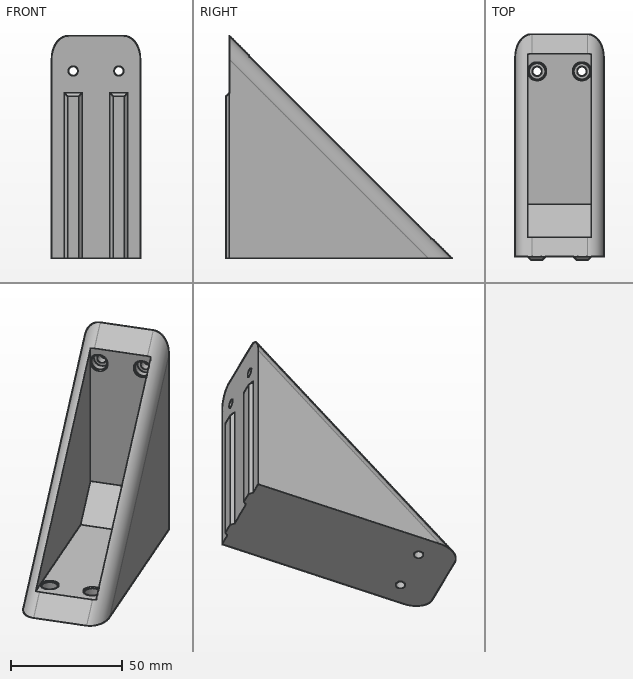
import cadquery as cq

width = 40.0
leg = 100.0
edge_radius = 7.5

wall = 8.8
pocket_width = 28.4
web_leg = 14.7

hole_diameter = 4.2
bore_diameter = 7.2
bore_rim_diameter = 8.3
bore_depth = 4.1
floor_hole_distance = 83.2
front_hole_height = 84.1
floor_hole_offset = 10.0
front_hole_offset = 10.3

rib_offset = 10.3
rib_width = 8.1
rib_height = 1.5
rib_length = 74.3


def make_body():
    """Right-angled wedge with rounded edges along both sides of the slope."""
    wedge = (
        cq.Workplane("YZ")
        .polyline([(0, 0), (leg, 0), (0, leg)])
        .close()
        .extrude(width / 2, both=True)
    )
    slope_center = (0, leg / 2, leg / 2)
    slope_sides = wedge.faces(cq.NearestToPointSelector(slope_center)).edges("not |X")
    return slope_sides.fillet(edge_radius)


def make_pocket():
    """Triangular cavity with its inner corner cut off parallel to the slope."""
    web_end = wall + web_leg
    return (
        cq.Workplane("YZ")
        .polyline([(web_end, wall), (leg, wall), (leg, leg), (wall, leg), (wall, web_end)])
        .close()
        .extrude(pocket_width / 2, both=True)
    )


def make_hole(center, direction):
    """Counterbored screw hole with a chamfered rim, starting at the inner wall face."""
    rim = (bore_rim_diameter - bore_diameter) / 2
    shaft = cq.Solid.makeCylinder(hole_diameter / 2, wall, center, direction)
    bore = cq.Solid.makeCylinder(bore_diameter / 2, bore_depth, center, direction)
    cone = cq.Solid.makeCone(bore_rim_diameter / 2, bore_diameter / 2, rim, center, direction)
    return cq.Workplane(shaft.fuse(bore, cone))


def make_rib(x):
    """Rib with 45-degree sides and top end, flush with the base at Z = 0."""
    side_profile = (
        cq.Workplane("YZ")
        .polyline([(0, 0), (-rib_height, 0), (-rib_height, rib_length - rib_height), (0, rib_length)])
        .close()
        .extrude(rib_width / 2, both=True)
    )
    crest = rib_width / 2 - rib_height
    bar = (
        cq.Workplane("XY")
        .polyline([(-rib_width / 2, 0), (-crest, -rib_height), (crest, -rib_height), (rib_width / 2, 0)])
        .close()
        .extrude(rib_length)
    )
    return bar.intersect(side_profile).translate((x, 0, 0))


result = make_body().cut(make_pocket())
for side in (-1, 1):
    floor_center = cq.Vector(side * floor_hole_offset, floor_hole_distance, wall)
    wall_center = cq.Vector(side * front_hole_offset, wall, front_hole_height)
    result = result.cut(make_hole(floor_center, cq.Vector(0, 0, -1)))
    result = result.cut(make_hole(wall_center, cq.Vector(0, -1, 0)))
    result = result.union(make_rib(side * rib_offset))